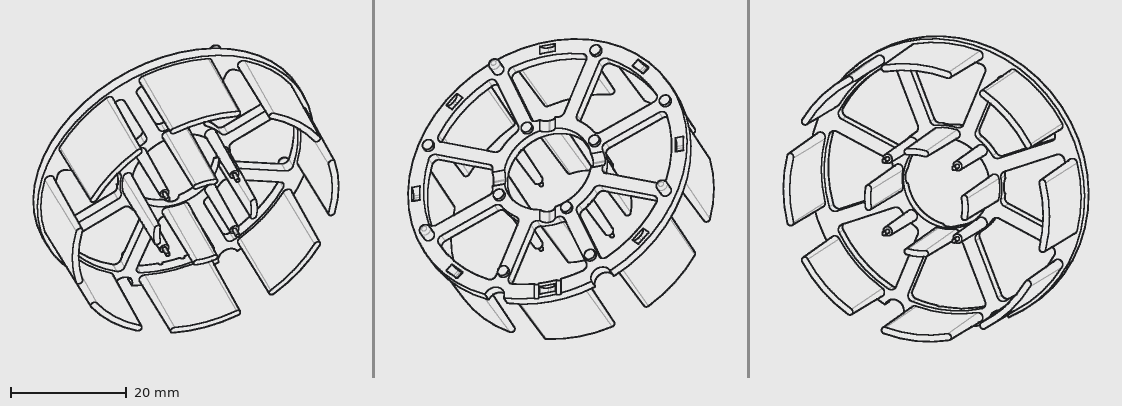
import cadquery as cq
import math

rim_radius = 25.65
plate_thickness = 1.95
pin_length = 2.6
boss_length = 0.65
wall_length = 14.05
plate_front = pin_length
plate_back = plate_front + plate_thickness

bore_radius = 8.05
hub_radius = 10.25
rim_inner_radius = 22.75
spoke_count = 8
spoke_width = 2.5
window_fillet = 1.0
spoke_pitch = 360 / spoke_count
half_pitch = spoke_pitch / 2
hub_feature_count = 4
hub_pitch = 360 / hub_feature_count

peg_radius = 0.95
pin_tip_fillet = 0.5
peg_circle_radius = 23.55
lower_boss_circle_radius = 20.8
hub_boss_circle_radius = 9.5

draft_angle = 1.0
rim_wall_radius = 24.15
rim_wall_thickness = 1.7
rim_wall_half_angle = 14.1
hub_wall_radius = 9.05
hub_wall_thickness = 1.6
hub_wall_half_angle = 10.7
rod_circle_radius = 9.2
rod_radius = 1.0
rod_length = 11.2
rod_tip_radius = 0.35
rod_tip_length = 1.65

recess_width = 2.75
recess_depth = 0.9
rim_recess_floor = 0.45
hub_recess_floor = 0.2
rim_recess_inner_radius = 23.45
rim_recess_outer_radius = 24.9
rim_groove_radius = 0.4
rim_groove_offset = 2.05
edge_cutout_radius = 1.85
cut_overrun = 0.5

bottom_angle = 270
lower_angles = (bottom_angle - half_pitch, bottom_angle + half_pitch)
pin_angles = (90 - half_pitch, -half_pitch, 180 + half_pitch)
rim_boss_angles = (half_pitch, 90 + half_pitch, 180 - half_pitch)


def polar(radius, angle):
    """Point of the YZ plane at a radius and an angle in degrees."""
    a = math.radians(angle)
    return (radius * math.cos(a), radius * math.sin(a))


def section(x):
    """Sketch plane across the wheel axis, facing +X."""
    return cq.Workplane("YZ", origin=(x, 0, 0))


def turn(shape, angle):
    """Turn a shape about the wheel axis."""
    return shape.rotate((0, 0, 0), (1, 0, 0), angle)


def window():
    """Opening between two spokes, centred on +Z, with rounded corners."""
    ring = section(plate_front).circle(rim_inner_radius).circle(hub_radius).extrude(plate_thickness)
    apex = spoke_width / 2 / math.sin(math.radians(half_pitch))
    reach = rim_radius * math.tan(math.radians(half_pitch))
    wedge = (
        section(plate_front)
        .polyline([(0, apex), (reach, apex + rim_radius), (-reach, apex + rim_radius)])
        .close()
        .extrude(plate_thickness)
    )
    opening = ring.intersect(wedge)
    return opening.edges("|X").fillet(window_fillet)


def plate():
    """Spoked wheel with two round cutouts in the lower edge."""
    body = section(plate_front).circle(rim_radius).circle(bore_radius).extrude(plate_thickness)
    opening = window()
    for i in range(spoke_count):
        body = body.cut(turn(opening, i * spoke_pitch))
    cutouts = (
        section(plate_front)
        .pushPoints([polar(rim_radius, a) for a in lower_angles])
        .circle(edge_cutout_radius)
        .extrude(plate_thickness)
    )
    return body.cut(cutouts)


def recess(floor_width, inner, outer):
    """Recess in the plate front, centred on +Z, with a flat floor between two curved sides."""
    half_width = recess_width / 2
    half_floor = floor_width / 2
    floor_x = plate_front + recess_depth
    side_run = half_width - half_floor
    side_radius = (side_run**2 + recess_depth**2) / (2 * recess_depth)
    side_sweep = math.asin(side_run / side_radius)
    mid_x = floor_x - side_radius * (1 - math.cos(side_sweep / 2))
    mid_y = half_floor + side_radius * math.sin(side_sweep / 2)
    return (
        cq.Workplane("XY", origin=(0, 0, inner))
        .moveTo(plate_front, -half_width)
        .threePointArc((mid_x, -mid_y), (floor_x, -half_floor))
        .lineTo(floor_x, half_floor)
        .threePointArc((mid_x, mid_y), (plate_front, half_width))
        .close()
        .extrude(outer - inner)
    )


def rim_groove(offset):
    """Half-round groove across the rim, beside the bottom recess."""
    return (
        cq.Workplane("XY", origin=(plate_front, offset, -rim_radius - cut_overrun))
        .circle(rim_groove_radius)
        .extrude(rim_radius - rim_inner_radius + 2 * cut_overrun)
    )


def front_recesses():
    """Solids to cut from the plate front."""
    rim_pocket = recess(rim_recess_floor, rim_recess_inner_radius, rim_recess_outer_radius)
    hub_notch = recess(hub_recess_floor, bore_radius - cut_overrun, hub_radius + cut_overrun)
    tools = [turn(rim_pocket, i * spoke_pitch) for i in range(spoke_count)]
    tools += [turn(hub_notch, i * hub_pitch) for i in range(hub_feature_count)]
    tools += [rim_groove(-rim_groove_offset), rim_groove(rim_groove_offset)]
    return tools


def pegs(points, length):
    """Round pegs that stand forward of the plate."""
    return section(plate_front - length).pushPoints(points).circle(peg_radius).extrude(length)


def bosses():
    """Short bosses on the rim, the lower spokes and the hub."""
    points = [polar(peg_circle_radius, a) for a in rim_boss_angles]
    points += [polar(lower_boss_circle_radius, a) for a in lower_angles]
    for i in range(hub_feature_count):
        points.append(polar(hub_boss_circle_radius, 90 - half_pitch + i * hub_pitch))
    return pegs(points, boss_length)


def pins():
    """Tall pins on the rim with rounded tips."""
    points = [polar(peg_circle_radius, a) for a in pin_angles]
    return pegs(points, pin_length).faces("<X").edges().fillet(pin_tip_fillet)


def wall_outline(workplane, radius, thickness, half_angle):
    """Arc-shaped slot outline with fully rounded ends, centred on +Z."""
    half_thickness = thickness / 2
    inner = radius - half_thickness
    outer = radius + half_thickness
    start = 90 - half_angle
    end = 90 + half_angle
    end_x, end_y = polar(radius, end)
    bulge_x, bulge_y = polar(half_thickness, end + 90)
    tip = (end_x + bulge_x, end_y + bulge_y)
    return (
        workplane.moveTo(*polar(outer, start))
        .threePointArc(polar(outer, 90), polar(outer, end))
        .threePointArc(tip, polar(inner, end))
        .threePointArc(polar(inner, 90), polar(inner, start))
        .threePointArc((-tip[0], tip[1]), polar(outer, start))
        .close()
    )


def curved_wall(radius, thickness, half_angle):
    """Arc wall behind the plate, thinned by the draft on both sides."""
    tip_thickness = thickness - 2 * wall_length * math.tan(math.radians(draft_angle))
    base = wall_outline(section(plate_back), radius, thickness, half_angle)
    both_ends = wall_outline(base.workplane(offset=wall_length), radius, tip_thickness, half_angle)
    return both_ends.loft(ruled=True)


def stepped_rod(angle):
    """Drafted rod with a thinner tip, standing on the hub."""
    centre = polar(rod_circle_radius, angle)
    rod = section(plate_back).center(*centre).circle(rod_radius).extrude(rod_length, taper=draft_angle)
    tip = (
        section(plate_back + rod_length)
        .center(*centre)
        .circle(rod_tip_radius)
        .extrude(rod_tip_length)
    )
    return rod.union(tip)


result = plate()
for tool in front_recesses():
    result = result.cut(tool)
result = result.union(bosses()).union(pins())

rim_wall = curved_wall(rim_wall_radius, rim_wall_thickness, rim_wall_half_angle)
for i in range(spoke_count):
    result = result.union(turn(rim_wall, i * spoke_pitch))

hub_wall = curved_wall(hub_wall_radius, hub_wall_thickness, hub_wall_half_angle)
for i in range(hub_feature_count):
    result = result.union(turn(hub_wall, i * hub_pitch))
    result = result.union(stepped_rod((i + 0.5) * hub_pitch))